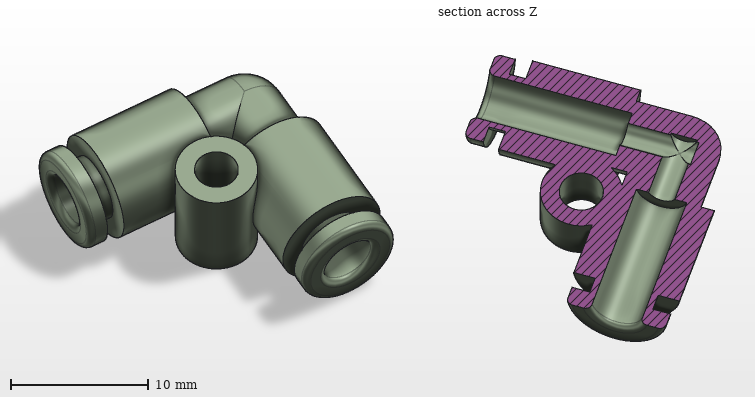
import cadquery as cq

overall_length = 19.4
body_diameter = 8.2
body_radius = body_diameter / 2
elbow_radius = 3.1
neck_radius = 2.5
collar_radius = 3.85
tube_bore_radius = 2.0
passage_radius = 1.15
collar_round = 0.5

body_start = 4.27
body_length = 8.3
neck_length = 1.22
body_end = body_start + body_length
collar_start = body_end + neck_length
branch_end = overall_length - body_radius

eyelet_offset = 5.68
eyelet_radius = 3.0
eyelet_hole_radius = 1.6
eyelet_height = body_diameter


def rod(plane, radius, start, end):
    """Round rod along the plane's normal, between two stations."""
    return cq.Workplane(plane).workplane(offset=start).circle(radius).extrude(end - start)


def branch_solid(plane):
    """Elbow arm, tube socket body, release neck and rounded release collar."""
    collar = rod(plane, collar_radius, collar_start, branch_end)
    end_face = cq.selectors.DirectionMinMaxSelector(plane.zDir)
    collar = collar.faces(end_face).edges().fillet(collar_round)
    return (
        rod(plane, elbow_radius, 0, body_start)
        .union(rod(plane, body_radius, body_start, body_end))
        .union(rod(plane, neck_radius, body_end, collar_start))
        .union(collar)
    )


def branch_cavity(plane):
    """Tube bore with a rounded mouth, and the narrower passage into the elbow."""
    mouth_radius = tube_bore_radius + collar_round
    mouth_start = branch_end - collar_round
    ring_center = plane.origin + plane.zDir * mouth_start
    rounding_ring = cq.Solid.makeTorus(mouth_radius, collar_round, ring_center, plane.zDir)
    mouth = rod(plane, mouth_radius, mouth_start, branch_end).cut(cq.Workplane(rounding_ring))
    bore = rod(plane, tube_bore_radius, body_start, branch_end)
    passage = rod(plane, passage_radius, -passage_radius, body_start)
    return mouth.union(bore).union(passage)


branch_planes = [
    cq.Plane(origin=(0, 0, 0), xDir=(0, 1, 0), normal=(1, 0, 0)),
    cq.Plane(origin=(0, 0, 0), xDir=(1, 0, 0), normal=(0, -1, 0)),
]

fitting = cq.Workplane("XY").sphere(elbow_radius)
for branch_plane in branch_planes:
    fitting = fitting.union(branch_solid(branch_plane))

eyelet_plane = cq.Plane(origin=(eyelet_offset, -eyelet_offset, 0))
half_height = eyelet_height / 2
fitting = fitting.union(rod(eyelet_plane, eyelet_radius, -half_height, half_height))
fitting = fitting.cut(rod(eyelet_plane, eyelet_hole_radius, -half_height, half_height))

for branch_plane in branch_planes:
    fitting = fitting.cut(branch_cavity(branch_plane))

result = fitting